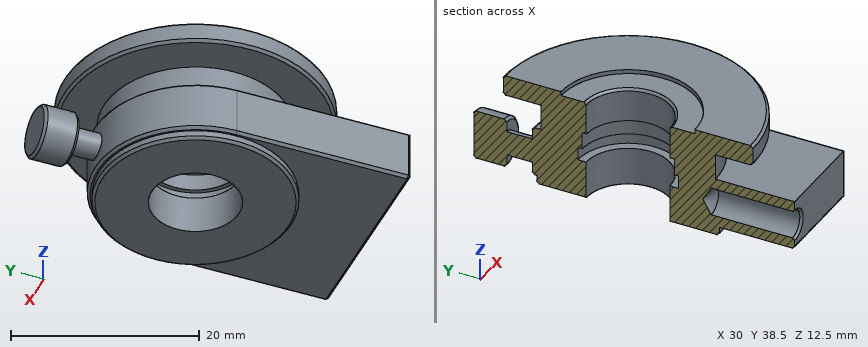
import cadquery as cq
import math

base_height = 1.0
block_height = 6.0
neck_height = 3.0
flange_height = 2.5
block_top = base_height + block_height
flange_bottom = block_top + neck_height
total_height = flange_bottom + flange_height

total_length = 38.5
base_diameter = 22.0
block_width = 23.0
block_front = 20.0
neck_diameter = 21.0
flange_diameter = 30.0
edge_chamfer = 0.3

recess_diameter = 16.0
recess_depth = 0.5
bore_diameter = 10.0
step_diameter = 11.0
groove_diameter = 12.0
step_top = total_height - 4.5
groove_top = total_height - 6.5
groove_floor = total_height - 8.0
bore_chamfer = 0.27

hole_diameter = 3.3
hole_mouth_diameter = 3.85
hole_depth = 10.0
drill_point_angle = 118.0

head_diameter = 6.0
head_length = 4.0
shank_diameter = 3.0
shank_embed = 0.77

block_mid_height = base_height + block_height / 2


def disc(diameter, bottom, height):
    return cq.Workplane("XY").workplane(offset=bottom).circle(diameter / 2).extrude(height)


def make_block():
    """Straight-sided block with a round back; only its top front edge is sharp."""
    half_width = block_width / 2
    block = (
        cq.Workplane("XY")
        .workplane(offset=base_height)
        .moveTo(-half_width, -block_front)
        .lineTo(half_width, -block_front)
        .lineTo(half_width, 0)
        .threePointArc((0, half_width), (-half_width, 0))
        .close()
        .extrude(block_height)
    )
    front_corners = block.edges("|Z and <Y")
    bottom_rim = block.faces("<Z").edges()
    top_sides_and_back = block.faces(">Z").edges("not <Y")
    chamfered_edges = front_corners.add(bottom_rim).add(top_sides_and_back)
    return chamfered_edges.chamfer(edge_chamfer)


def make_screw():
    """Cylindrical screw head and shank along Y, ending at the back of the part."""
    screw_end = total_length - block_front
    shank_start = block_width / 2 - shank_embed
    head_start = screw_end - head_length
    axis_plane = cq.Plane(origin=(0, shank_start, block_mid_height), xDir=(1, 0, 0), normal=(0, 1, 0))
    shank_length = head_start - shank_start
    shank = cq.Workplane(axis_plane).circle(shank_diameter / 2).extrude(shank_length)
    head = (
        cq.Workplane(axis_plane)
        .workplane(offset=shank_length)
        .circle(head_diameter / 2)
        .extrude(head_length)
        .edges()
        .chamfer(edge_chamfer)
    )
    return shank.union(head)


def make_bore():
    """Recess, chamfered through bore and a two-step groove that widens downward."""
    recess_floor = total_height - recess_depth
    recess = disc(recess_diameter, recess_floor, recess_depth)
    through = disc(bore_diameter, 0, recess_floor)
    step = disc(step_diameter, groove_top, step_top - groove_top)
    groove = disc(groove_diameter, groove_floor, groove_top - groove_floor)
    lead_in = cq.Workplane(
        cq.Solid.makeCone(
            bore_diameter / 2,
            bore_diameter / 2 + bore_chamfer,
            bore_chamfer,
            pnt=cq.Vector(0, 0, recess_floor - bore_chamfer),
        )
    )
    return recess.union(through).union(step).union(groove).union(lead_in)


def make_front_hole():
    """Drilled blind hole along Y with a chamfered mouth and a conical end."""
    hole_radius = hole_diameter / 2
    mouth_radius = hole_mouth_diameter / 2
    mouth_depth = mouth_radius - hole_radius
    hole_end = hole_depth - block_front
    tip_length = hole_radius / math.tan(math.radians(drill_point_angle / 2))
    profile = (
        cq.Workplane("XY")
        .workplane(offset=block_mid_height)
        .moveTo(0, -block_front)
        .lineTo(mouth_radius, -block_front)
        .lineTo(hole_radius, mouth_depth - block_front)
        .lineTo(hole_radius, hole_end)
        .lineTo(0, hole_end + tip_length)
        .close()
    )
    return profile.revolve(360, (0, 0, 0), (0, 1, 0))


base = disc(base_diameter, 0, base_height).faces("<Z").edges().chamfer(edge_chamfer)
neck = disc(neck_diameter, block_top, neck_height)
flange = disc(flange_diameter, flange_bottom, flange_height).edges().chamfer(edge_chamfer)

body = base.union(make_block()).union(neck).union(flange).union(make_screw())
result = body.cut(make_bore()).cut(make_front_hole())